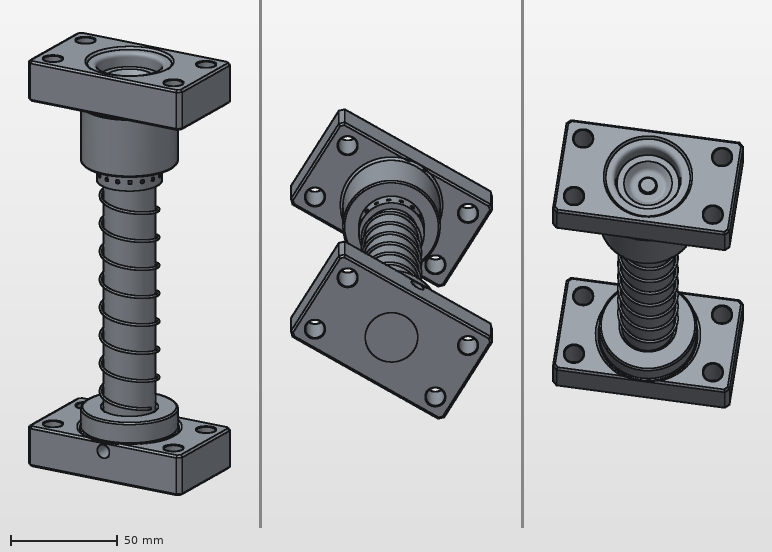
import cadquery as cq
import math

TOTAL_HEIGHT = 202.3

PLATE_LENGTH = 84.0
PLATE_WIDTH = 48.0
PLATE_THICKNESS = 20.0
PLATE_CORNER_CHAMFER = 2.0
PLATE_EDGE_CHAMFER = 1.0
PLATE_TURN = 13.2
BOLT_SPACING_LENGTH = 66.0
BOLT_SPACING_WIDTH = 30.0
BOLT_HOLE_DIAMETER = 9.0
BOLT_HOLE_CHAMFER = 0.5
TOP_PLATE_BOTTOM = TOTAL_HEIGHT - PLATE_THICKNESS

BARREL_RADIUS = 22.9
BARREL_EDGE_CHAMFER = 0.8

NECK_RADIUS = 19.8
BUSHING_LENGTH = 50.0
BUSHING_BOTTOM = TOTAL_HEIGHT - BUSHING_LENGTH
BUSHING_RECESS = 1.2
BUSHING_TOP = TOTAL_HEIGHT - BUSHING_RECESS
BUSHING_BORE_RADIUS = 15.4
BUSHING_MOUTH_FILLET = 2.0
TOP_BORE_MOUTH_RADIUS = 20.8
BUSHING_FLARE = 1.2

COLLAR_PROJECTION = 10.0
COLLAR_TOP = PLATE_THICKNESS + COLLAR_PROJECTION
COLLAR_SEAT_MOUTH_RADIUS = 24.7
COLLAR_SEAT_FLOOR_RADIUS = 23.5
COLLAR_SEAT_DEPTH = 0.8
COLLAR_SEAT_HEIGHT = PLATE_THICKNESS - COLLAR_SEAT_DEPTH
COLLAR_BORE_CHAMFER = 1.2

POST_RADIUS = 12.3
CLAMP_HOLE_DIAMETER = 6.7
CLAMP_HOLE_HEIGHT = 15.0
CLAMP_HOLE_DEPTH = 11.1

CAP_RADIUS = 14.5
CAP_TOP = 194.5
CAP_THICKNESS = 5.0
CAP_BOTTOM = CAP_TOP - CAP_THICKNESS
DISH_RIM_RADIUS = 11.3
DISH_SLOPE = 45.0
DISH_CONE_DEPTH = 2.5
DISH_FILLET = 2.6
SCREW_RADIUS = 4.2
SCREW_CHAMFER = 0.6
SCREW_RECESS = 2.0
SCREW_TOP = CAP_TOP - SCREW_RECESS
SCREW_DEPTH_IN_POST = 8.0

CAGE_RADIUS = 15.4
CAGE_BOTTOM = 143.0
POCKET_COUNT = 16
POCKET_DIAMETER = 1.8
POCKET_DEPTH = 1.0
POCKET_HEIGHT = 147.3

WIRE_RADIUS = 0.6
SPRING_RADIUS = 13.5
SPRING_PITCH = 14.0
SPRING_TURNS = 7.75
SPRING_START = 32.4


def disc(radius, bottom, top):
    """Cylinder on the Z axis between two heights."""
    return cq.Workplane("XY").workplane(offset=bottom).circle(radius).extrude(top - bottom)


def ring(outer_radius, inner_radius, bottom, top):
    """Tube on the Z axis between two heights."""
    return disc(outer_radius, bottom, top).cut(disc(inner_radius, bottom, top))


def cone(bottom_radius, top_radius, bottom, top):
    """Truncated cone on the Z axis between two heights."""
    return cq.Workplane("XY").add(
        cq.Solid.makeCone(bottom_radius, top_radius, top - bottom, cq.Vector(0, 0, bottom))
    )


def turned(body):
    """Turn a body about Z to the angle of the plates."""
    return body.rotate((0, 0, 0), (0, 0, 1), PLATE_TURN)


def plate_blank(bottom):
    """Chamfered plate with its four bolt holes, before the centre bore."""
    blank = (
        cq.Workplane("XY")
        .workplane(offset=bottom)
        .rect(PLATE_LENGTH, PLATE_WIDTH)
        .extrude(PLATE_THICKNESS)
        .edges("|Z")
        .chamfer(PLATE_CORNER_CHAMFER)
        .faces("<Z or >Z")
        .chamfer(PLATE_EDGE_CHAMFER)
        .faces(">Z")
        .workplane()
        .rect(BOLT_SPACING_LENGTH, BOLT_SPACING_WIDTH, forConstruction=True)
        .vertices()
        .hole(BOLT_HOLE_DIAMETER)
        .edges("%CIRCLE")
        .chamfer(BOLT_HOLE_CHAMFER)
    )
    return turned(blank)


def clamp_hole():
    """Blind round hole in the middle of the long front face of the bottom plate."""
    hole = (
        cq.Workplane("XZ", origin=(0, -PLATE_WIDTH / 2, CLAMP_HOLE_HEIGHT))
        .circle(CLAMP_HOLE_DIAMETER / 2)
        .extrude(-CLAMP_HOLE_DEPTH)
    )
    return turned(hole)


def make_top_plate():
    """Plate bored for the bushing neck, with a bevelled mouth above the recessed bushing."""
    bore = disc(NECK_RADIUS, TOP_PLATE_BOTTOM, TOTAL_HEIGHT)
    mouth = cone(NECK_RADIUS, TOP_BORE_MOUTH_RADIUS, BUSHING_TOP, TOTAL_HEIGHT)
    return plate_blank(TOP_PLATE_BOTTOM).cut(bore).cut(mouth)


def make_bottom_plate():
    """Plate bored for the post, with the collar seat on top and the clamping hole in front."""
    bore = disc(POST_RADIUS, 0, PLATE_THICKNESS)
    seat = cone(COLLAR_SEAT_FLOOR_RADIUS, COLLAR_SEAT_MOUTH_RADIUS, COLLAR_SEAT_HEIGHT, PLATE_THICKNESS)
    return plate_blank(0).cut(bore).cut(seat).cut(clamp_hole())


def make_bushing():
    """Wide barrel flared against the plate, and a neck inside it, with one bore through both."""
    barrel = disc(BARREL_RADIUS, BUSHING_BOTTOM, TOP_PLATE_BOTTOM)
    barrel = barrel.faces("<Z").chamfer(BARREL_EDGE_CHAMFER)
    flare = cone(
        BARREL_RADIUS, BARREL_RADIUS + BUSHING_FLARE, TOP_PLATE_BOTTOM - BUSHING_FLARE, TOP_PLATE_BOTTOM
    )
    neck = disc(NECK_RADIUS, TOP_PLATE_BOTTOM, BUSHING_TOP)
    bore = disc(BUSHING_BORE_RADIUS, BUSHING_BOTTOM, BUSHING_TOP)
    body = barrel.union(flare).union(neck).cut(bore)
    mouth_edge = cq.selectors.RadiusNthSelector(0)
    return body.faces(">Z").edges(mouth_edge).fillet(BUSHING_MOUTH_FILLET)


def make_collar():
    """Chamfered ring around the post, with a bevelled bore mouth."""
    body = disc(BARREL_RADIUS, COLLAR_SEAT_HEIGHT, COLLAR_TOP).edges().chamfer(BARREL_EDGE_CHAMFER)
    bore = disc(POST_RADIUS, COLLAR_SEAT_HEIGHT, COLLAR_TOP)
    mouth = cone(
        POST_RADIUS, POST_RADIUS + COLLAR_BORE_CHAMFER, COLLAR_TOP - COLLAR_BORE_CHAMFER, COLLAR_TOP
    )
    return body.cut(bore).cut(mouth)


def make_post():
    """Plain round post with a blind hole for the screw in its top."""
    screw_hole = disc(SCREW_RADIUS, CAP_BOTTOM - SCREW_DEPTH_IN_POST, CAP_BOTTOM)
    return disc(POST_RADIUS, 0, CAP_BOTTOM).cut(screw_hole)


def make_cap():
    """Round cap whose top is dished: a cone that runs into a flat floor through a fillet."""
    slope = math.radians(DISH_SLOPE)
    cone_end_radius = DISH_RIM_RADIUS - DISH_CONE_DEPTH / math.tan(slope)
    cone_end_height = CAP_TOP - DISH_CONE_DEPTH
    floor_radius = cone_end_radius - DISH_FILLET * math.sin(slope)
    floor_height = cone_end_height - DISH_FILLET * (1 - math.cos(slope))
    half_slope = slope / 2
    arc_middle = (
        floor_radius + DISH_FILLET * math.sin(half_slope),
        floor_height + DISH_FILLET * (1 - math.cos(half_slope)),
    )
    return (
        cq.Workplane("XZ")
        .moveTo(SCREW_RADIUS, CAP_BOTTOM)
        .lineTo(CAP_RADIUS, CAP_BOTTOM)
        .lineTo(CAP_RADIUS, CAP_TOP)
        .lineTo(DISH_RIM_RADIUS, CAP_TOP)
        .lineTo(cone_end_radius, cone_end_height)
        .threePointArc(arc_middle, (floor_radius, floor_height))
        .lineTo(SCREW_RADIUS, floor_height)
        .close()
        .revolve(360, (0, 0, 0), (0, 1, 0))
    )


def make_screw():
    """Plain pin with a chamfered top, standing in the cap and the post."""
    return disc(SCREW_RADIUS, CAP_BOTTOM - SCREW_DEPTH_IN_POST, SCREW_TOP).faces(">Z").chamfer(SCREW_CHAMFER)


def make_cage():
    """Tube between post and bushing with a ring of shallow ball pockets near its lower end."""
    cage = ring(CAGE_RADIUS, POST_RADIUS, CAGE_BOTTOM, CAP_BOTTOM)
    pocket = (
        cq.Workplane("YZ", origin=(CAGE_RADIUS - POCKET_DEPTH, 0, POCKET_HEIGHT))
        .circle(POCKET_DIAMETER / 2)
        .extrude(2 * POCKET_DEPTH)
    )
    for index in range(POCKET_COUNT):
        cage = cage.cut(pocket.rotate((0, 0, 0), (0, 0, 1), index * 360 / POCKET_COUNT))
    return cage


def make_spring():
    """Round wire wound around the post with a left-hand twist."""
    path = cq.Wire.makeHelix(
        SPRING_PITCH,
        SPRING_PITCH * SPRING_TURNS,
        SPRING_RADIUS,
        center=cq.Vector(0, 0, SPRING_START),
        lefthand=True,
    )
    section = cq.Workplane("XZ", origin=(SPRING_RADIUS, 0, SPRING_START)).circle(WIRE_RADIUS)
    return section.sweep(cq.Workplane("XY").add(path), isFrenet=True)


top_plate = make_top_plate()
bottom_plate = make_bottom_plate()
bushing = make_bushing()
collar = make_collar()
post = make_post()
cap = make_cap()
screw = make_screw()
cage = make_cage()
spring = make_spring()

result = cq.Compound.makeCompound(
    [
        top_plate.val(),
        bottom_plate.val(),
        bushing.val(),
        collar.val(),
        post.val(),
        cap.val(),
        screw.val(),
        cage.val(),
        spring.val(),
    ]
)